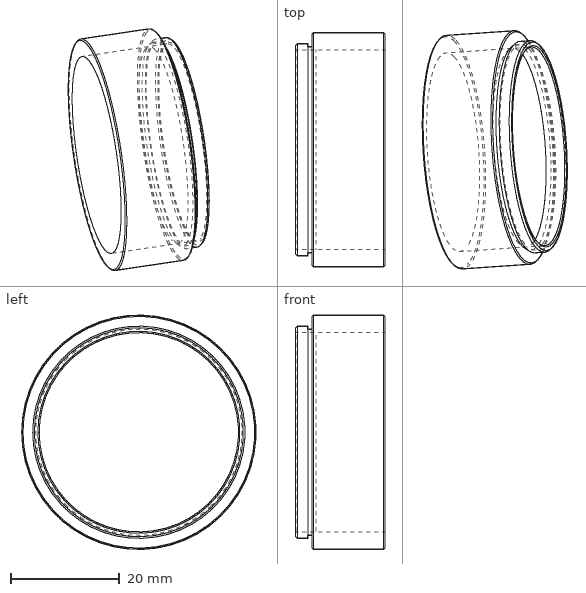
import cadquery as cq

total_length = 16.51
barrel_diameter = 43.18

spigot_length = 3.05
spigot_diameter = 39.1
spigot_land_length = 2.29
relief_diameter = 38.0

bore_diameter = 36.7
optic_recess = 3.81

edge_chamfer = 0.25
spigot_chamfer_length = 0.38
spigot_chamfer_height = 0.3

x_front = -total_length / 2
x_back = total_length / 2
x_land_end = x_front + spigot_land_length
x_shoulder = x_front + spigot_length
x_optic = x_front + optic_recess

barrel_radius = barrel_diameter / 2
spigot_radius = spigot_diameter / 2
relief_radius = relief_diameter / 2
bore_radius = bore_diameter / 2


def make_housing():
    """Chamfered barrel with a grooved spigot and a through bore, as one revolved section (x, radius)."""
    section = [
        (x_front, bore_radius + edge_chamfer),
        (x_front, spigot_radius - spigot_chamfer_height),
        (x_front + spigot_chamfer_length, spigot_radius),
        (x_land_end, spigot_radius),
        (x_land_end, relief_radius),
        (x_shoulder, relief_radius),
        (x_shoulder, barrel_radius - edge_chamfer),
        (x_shoulder + edge_chamfer, barrel_radius),
        (x_back - edge_chamfer, barrel_radius),
        (x_back, barrel_radius - edge_chamfer),
        (x_back, bore_radius),
        (x_front + edge_chamfer, bore_radius),
    ]
    return cq.Workplane("XY").polyline(section).close().revolve(360, (0, 0, 0), (1, 0, 0))


def make_optic():
    """Flat disc that fills the bore from the front recess to the back face."""
    thickness = x_back - x_optic
    return cq.Workplane("YZ", origin=(x_optic, 0, 0)).circle(bore_radius).extrude(thickness)


housing = make_housing()
optic = make_optic()

result = cq.Compound.makeCompound([housing.val(), optic.val()])